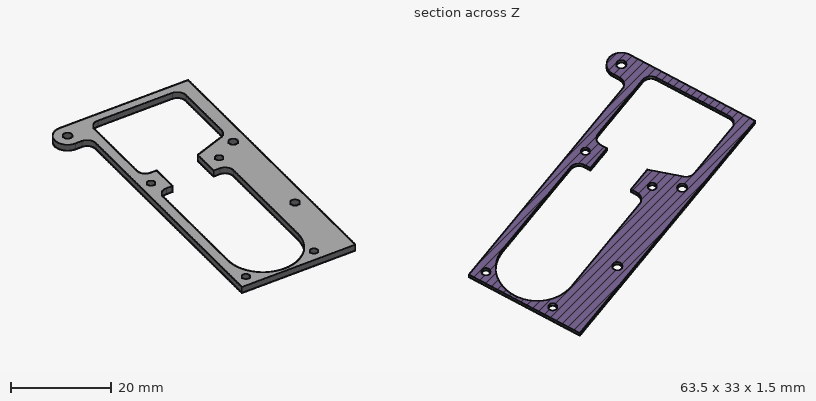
import cadquery as cq
import math

length = 63.5
width = 33.0
thickness = 1.5
plate_bottom = 6.5
corner_radius = 2.0

ear_radius = 3.0
ear_width = 2 * ear_radius

left_wall = 2.0
bottom_wall = 2.2
right_wall = 0.75
window_top_wall = 3.0
opening_bottom = plate_bottom + bottom_wall
window_top = width - window_top_wall
slot_height = 16.45
slot_radius = slot_height / 2
slot_top = opening_bottom + slot_height
slot_middle = opening_bottom + slot_radius
slot_end = length - right_wall

tab_left = 22.0
tab_width = 6.05
tab_right = tab_left + tab_width
neck_height = 9.6
neck_bottom = slot_middle - neck_height / 2
neck_top = slot_middle + neck_height / 2
taper_angle = 20.0
taper_run = (window_top - neck_top) * math.tan(math.radians(taper_angle))

large_hole_diameter = 2.0
small_hole_diameter = 1.7
upper_hole_spacing = 23.4
upper_hole_y = width - window_top_wall
small_hole_left = tab_left + tab_width / 2
small_hole_right = 60.95
small_hole_spacing_y = 15.95
large_hole_points = [
    (ear_radius, ear_radius),
    (tab_left, upper_hole_y),
    (tab_left + upper_hole_spacing, upper_hole_y),
]
small_hole_points = [
    (x, slot_middle + side * small_hole_spacing_y / 2)
    for x in (small_hole_left, small_hole_right)
    for side in (-1, 1)
]


def make_plate():
    """Flat plate with a rounded ear blended into its lower edge."""
    plate = (
        cq.Workplane("XY")
        .moveTo(0, width)
        .lineTo(0, ear_radius)
        .threePointArc((ear_radius, 0), (ear_width, ear_radius))
        .lineTo(ear_width, plate_bottom)
        .lineTo(length, plate_bottom)
        .lineTo(length, width)
        .close()
        .extrude(thickness)
    )
    return round_corners(plate, [(ear_width, plate_bottom)])


def round_corners(body, corners):
    """Fillet the vertical edges standing at the given corners."""
    for x, y in corners:
        nearest_edge = cq.selectors.NearestToPointSelector((x, y, thickness / 2))
        body = body.edges("|Z").edges(nearest_edge).fillet(corner_radius)
    return body


def make_opening():
    """Window and round-ended slot, joined through the neck between the tabs."""
    window_corners = [
        (tab_left, opening_bottom),
        (left_wall, opening_bottom),
        (left_wall, window_top),
        (tab_left - taper_run, window_top),
    ]
    slot_corners = [(tab_right, slot_top), (tab_right, opening_bottom)]
    arc_start = slot_end - slot_radius
    opening = (
        cq.Workplane("XY")
        .moveTo(tab_left, neck_bottom)
        .polyline(window_corners, includeCurrent=True)
        .lineTo(tab_left, neck_top)
        .lineTo(tab_right, neck_top)
        .lineTo(tab_right, slot_top)
        .lineTo(arc_start, slot_top)
        .threePointArc((slot_end, slot_middle), (arc_start, opening_bottom))
        .lineTo(tab_right, opening_bottom)
        .lineTo(tab_right, neck_bottom)
        .close()
        .extrude(thickness)
    )
    return round_corners(opening, window_corners + slot_corners)


def make_holes(points, diameter):
    """Through-hole cylinders at the given points."""
    return cq.Workplane("XY").pushPoints(points).circle(diameter / 2).extrude(thickness)


result = (
    make_plate()
    .cut(make_opening())
    .cut(make_holes(large_hole_points, large_hole_diameter))
    .cut(make_holes(small_hole_points, small_hole_diameter))
)